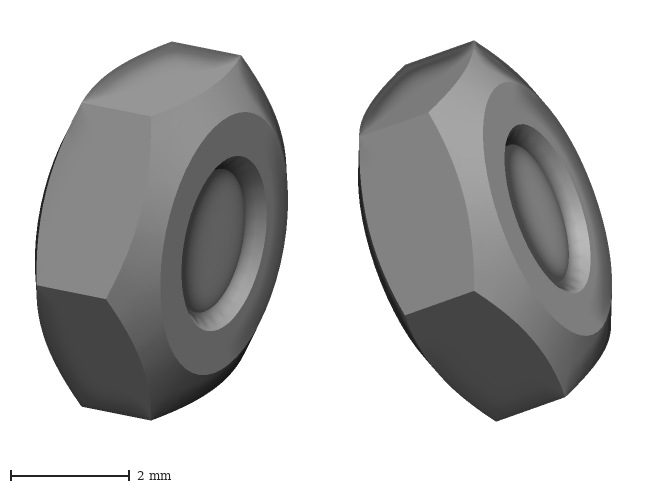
import cadquery as cq
import math

ACROSS_CORNERS = 6.35
THICKNESS = 2.4
FACE_DIAMETER = 4.495
CORNER_CHAMFER_ANGLE = 30.0

CORE_DIAMETER = 2.46
COUNTERSINK_DIAMETER = 3.0

half_thickness = THICKNESS / 2
corner_radius = ACROSS_CORNERS / 2
face_radius = FACE_DIAMETER / 2
core_radius = CORE_DIAMETER / 2
countersink_radius = COUNTERSINK_DIAMETER / 2
countersink_depth = countersink_radius - core_radius
chamfer_drop = (corner_radius - face_radius) * math.tan(math.radians(CORNER_CHAMFER_ANGLE))


def make_hexagon():
    """Hexagonal prism with corners on the Y axis and flats facing +Z and -Z."""
    prism = cq.Workplane("YZ").polygon(6, ACROSS_CORNERS).extrude(half_thickness, both=True)
    return prism


def make_turned_envelope():
    """Solid of revolution that bevels the corners and countersinks both ends."""
    shoulder = half_thickness - chamfer_drop
    floor = half_thickness - countersink_depth
    profile = (
        cq.Workplane("XY")
        .moveTo(-floor, 0)
        .lineTo(-floor, core_radius)
        .lineTo(-half_thickness, countersink_radius)
        .lineTo(-half_thickness, face_radius)
        .lineTo(-shoulder, corner_radius)
        .lineTo(shoulder, corner_radius)
        .lineTo(half_thickness, face_radius)
        .lineTo(half_thickness, countersink_radius)
        .lineTo(floor, core_radius)
        .lineTo(floor, 0)
        .close()
    )
    return profile.revolve(360, (0, 0, 0), (1, 0, 0))


result = make_hexagon().intersect(make_turned_envelope())